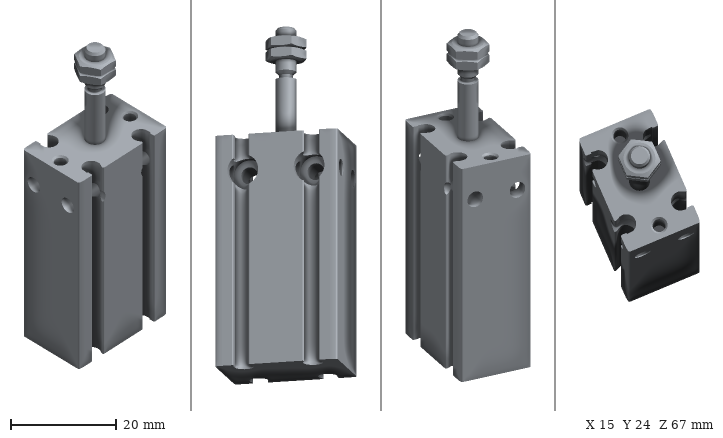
import cadquery as cq
import math

TOTAL_HEIGHT = 67.0
HOUSING_WIDTH = 15.0
HOUSING_DEPTH = 24.0
HOUSING_HEIGHT = 45.0

FLANK_RADIUS = 5.5
FLANK_LENGTH = 1.4
CORNER_RADIUS = 0.4

SLOT_DIAMETER = 3.75
SLOT_CENTER_DEPTH = 1.9
SLOT_CENTER_Y = 6.8
SLOT_MOUTH_INNER_Y = 5.4
SLOT_MOUTH_OUTER_Y = 8.4
SLOT_LIP_RADIUS = 0.3
SLOT_INNER_LIP_DEPTH = 0.4
SLOT_INNER_WALL_DEPTH = 1.3
SLOT_OUTER_LIP_DEPTH = 1.2
SLOT_OUTER_WALL_DEPTH = 2.55
SLOT_OUTER_WALL_Y = 8.65

CROSS_HOLE_DIAMETER = 3.3
CROSS_HOLE_DROP = 7.0
FRONT_HOLE_X = 4.5
SIDE_HOLE_Y = 6.5
COUNTERBORE_DIAMETER = 6.0
COUNTERBORE_DEPTH = 5.0

TOP_HOLE_DIAMETER = 2.5
TOP_HOLE_MOUTH_DIAMETER = 3.2
TOP_HOLE_MOUTH_ANGLE = 90.0
TOP_HOLE_DEPTH = 6.0
TOP_HOLE_Y = 9.45

ROD_DIAMETER = 4.0
ROD_TIP_CHAMFER_WIDTH = 0.4
ROD_TIP_CHAMFER_HEIGHT = 0.55
UNDERCUT_DIAMETER = 2.7
UNDERCUT_BOTTOM_Z = 57.0
UNDERCUT_TOP_Z = 58.5
UNDERCUT_ROOT_RADIUS = 0.2

NUT_SIDES = 6
NUT_ACROSS_FLATS = 7.05
NUT_HEIGHT = 2.2
NUT_COUNT = 2
NUT_FACE_DIAMETER = 6.0
NUT_CHAMFER_ANGLE = 19.0
NUT_STACK_TOP_Z = 65.0


def housing_block():
    """Extruded rectangle whose sides curve inward near the corners."""
    half_x = HOUSING_WIDTH / 2
    half_y = HOUSING_DEPTH / 2

    def flank_x(rise):
        """X of the curved side at a distance past the start of its curve."""
        return half_x - FLANK_RADIUS + math.sqrt(FLANK_RADIUS**2 - rise**2)

    flank_y = half_y - FLANK_LENGTH
    middle_x = flank_x(FLANK_LENGTH / 2)
    middle_y = flank_y + FLANK_LENGTH / 2
    end_x = flank_x(FLANK_LENGTH)
    return (
        cq.Workplane("XY")
        .moveTo(half_x, -flank_y)
        .lineTo(half_x, flank_y)
        .threePointArc((middle_x, middle_y), (end_x, half_y))
        .lineTo(-end_x, half_y)
        .threePointArc((-middle_x, middle_y), (-half_x, flank_y))
        .lineTo(-half_x, -flank_y)
        .threePointArc((-middle_x, -middle_y), (-end_x, -half_y))
        .lineTo(end_x, -half_y)
        .threePointArc((middle_x, -middle_y), (half_x, -flank_y))
        .close()
        .extrude(HOUSING_HEIGHT)
        .edges("|Z and (>Y or <Y)")
        .fillet(CORNER_RADIUS)
    )


def sensor_slots():
    """Four full-height slots: a round bottom that opens to the side between two lips."""
    face_x = HOUSING_WIDTH / 2
    radius = SLOT_DIAMETER / 2

    def at_depth(depth, y):
        """Point at a depth behind the +X side face."""
        return (face_x - depth, y)

    def half_width(depth):
        """Half the width along Y of the round bottom at a given depth."""
        return math.sqrt(radius**2 - (depth - SLOT_CENTER_DEPTH) ** 2)

    outer_wall_end_y = SLOT_CENTER_Y + half_width(SLOT_OUTER_WALL_DEPTH)
    inner_wall_end_y = SLOT_CENTER_Y - half_width(SLOT_INNER_WALL_DEPTH)
    slot = (
        cq.Workplane("XY")
        .moveTo(*at_depth(0, SLOT_MOUTH_OUTER_Y))
        .lineTo(*at_depth(SLOT_OUTER_LIP_DEPTH, SLOT_MOUTH_OUTER_Y))
        .lineTo(*at_depth(SLOT_OUTER_LIP_DEPTH, SLOT_OUTER_WALL_Y))
        .lineTo(*at_depth(SLOT_OUTER_WALL_DEPTH, outer_wall_end_y))
        .threePointArc(
            at_depth(SLOT_CENTER_DEPTH + radius, SLOT_CENTER_Y),
            at_depth(SLOT_INNER_WALL_DEPTH, inner_wall_end_y),
        )
        .lineTo(*at_depth(SLOT_INNER_LIP_DEPTH, SLOT_MOUTH_INNER_Y))
        .lineTo(*at_depth(0, SLOT_MOUTH_INNER_Y))
        .close()
        .extrude(HOUSING_HEIGHT)
    )
    slot_pair = slot.union(slot.mirror("YZ"))
    return slot_pair.union(slot_pair.mirror("XZ"))


def front_holes():
    """Plain holes through the housing along Y."""
    return (
        cq.Workplane("XZ", origin=(0, HOUSING_DEPTH / 2, HOUSING_HEIGHT - CROSS_HOLE_DROP))
        .pushPoints([(-FRONT_HOLE_X, 0), (FRONT_HOLE_X, 0)])
        .circle(CROSS_HOLE_DIAMETER / 2)
        .extrude(HOUSING_DEPTH)
    )


def side_holes():
    """Holes through the housing along X, counterbored from the -X side."""
    plane = cq.Workplane("YZ", origin=(-HOUSING_WIDTH / 2, 0, HOUSING_HEIGHT - CROSS_HOLE_DROP))
    centers = plane.pushPoints([(-SIDE_HOLE_Y, 0), (SIDE_HOLE_Y, 0)])
    holes = centers.circle(CROSS_HOLE_DIAMETER / 2).extrude(HOUSING_WIDTH)
    counterbores = centers.circle(COUNTERBORE_DIAMETER / 2).extrude(COUNTERBORE_DEPTH)
    return holes.union(counterbores)


def make_housing():
    housing = housing_block().cut(sensor_slots())
    mouth_reach = SLOT_MOUTH_OUTER_Y + SLOT_LIP_RADIUS
    mouth_zone = cq.selectors.BoxSelector(
        (-HOUSING_WIDTH, -mouth_reach, 0), (HOUSING_WIDTH, mouth_reach, HOUSING_HEIGHT)
    )
    mouth_edges = housing.edges("|Z and (>X or <X)").edges(mouth_zone)
    housing = mouth_edges.fillet(SLOT_LIP_RADIUS)
    housing = housing.cut(front_holes()).cut(side_holes())
    return (
        housing.faces(">Z")
        .workplane(origin=(0, 0, HOUSING_HEIGHT))
        .pushPoints([(0, -TOP_HOLE_Y), (0, TOP_HOLE_Y)])
        .cskHole(TOP_HOLE_DIAMETER, TOP_HOLE_MOUTH_DIAMETER, TOP_HOLE_MOUTH_ANGLE, TOP_HOLE_DEPTH)
    )


def make_rod():
    """Round rod standing on the housing top, turned as one profile."""
    rod_radius = ROD_DIAMETER / 2
    undercut_radius = UNDERCUT_DIAMETER / 2
    cone_height = rod_radius - undercut_radius
    return (
        cq.Workplane("XZ")
        .moveTo(0, HOUSING_HEIGHT)
        .lineTo(rod_radius, HOUSING_HEIGHT)
        .lineTo(rod_radius, UNDERCUT_BOTTOM_Z)
        .lineTo(undercut_radius + UNDERCUT_ROOT_RADIUS, UNDERCUT_BOTTOM_Z)
        .radiusArc((undercut_radius, UNDERCUT_BOTTOM_Z + UNDERCUT_ROOT_RADIUS), UNDERCUT_ROOT_RADIUS)
        .lineTo(undercut_radius, UNDERCUT_TOP_Z - cone_height)
        .lineTo(rod_radius, UNDERCUT_TOP_Z)
        .lineTo(rod_radius, TOTAL_HEIGHT - ROD_TIP_CHAMFER_HEIGHT)
        .lineTo(rod_radius - ROD_TIP_CHAMFER_WIDTH, TOTAL_HEIGHT)
        .lineTo(0, TOTAL_HEIGHT)
        .close()
        .revolve(360, (0, 0, 0), (0, 1, 0))
    )


def make_nut(bottom_z):
    """Hexagon nut with corners along Y, both faces chamfered conically."""
    corner_radius = NUT_ACROSS_FLATS / 2 / math.cos(math.pi / NUT_SIDES)
    face_radius = NUT_FACE_DIAMETER / 2
    chamfer_height = (corner_radius - face_radius) * math.tan(math.radians(NUT_CHAMFER_ANGLE))
    hexagon = (
        cq.Workplane("XY")
        .polygon(NUT_SIDES, 2 * corner_radius)
        .extrude(NUT_HEIGHT)
        .rotate((0, 0, 0), (0, 0, 1), 90)
    )
    chamfer_envelope = (
        cq.Workplane("XZ")
        .moveTo(ROD_DIAMETER / 2, 0)
        .lineTo(face_radius, 0)
        .lineTo(corner_radius, chamfer_height)
        .lineTo(corner_radius, NUT_HEIGHT - chamfer_height)
        .lineTo(face_radius, NUT_HEIGHT)
        .lineTo(ROD_DIAMETER / 2, NUT_HEIGHT)
        .close()
        .revolve(360, (0, 0, 0), (0, 1, 0))
    )
    return hexagon.intersect(chamfer_envelope).translate((0, 0, bottom_z))


housing = make_housing()
rod = make_rod()
nuts = []
for level in range(1, NUT_COUNT + 1):
    nuts.append(make_nut(NUT_STACK_TOP_Z - level * NUT_HEIGHT).val())

result = cq.Compound.makeCompound([housing.val(), rod.val(), *nuts])